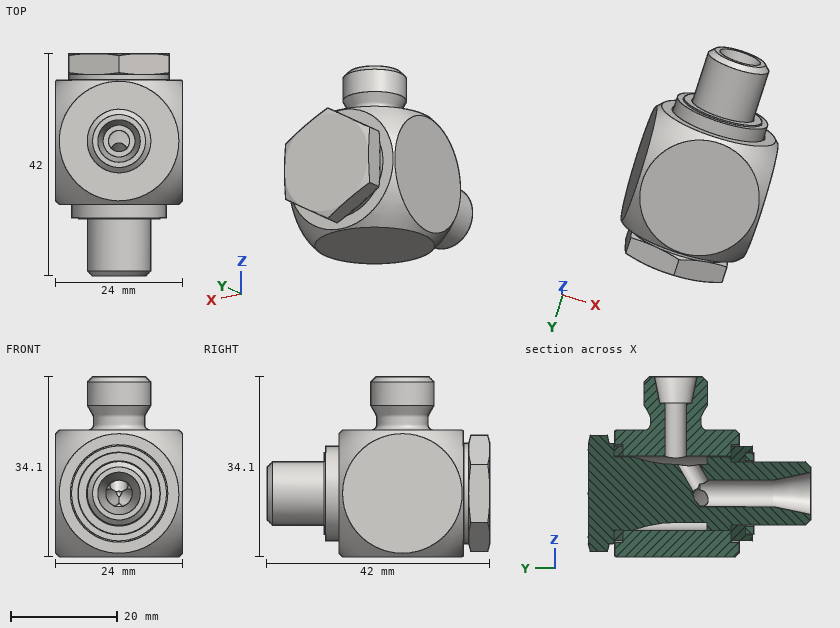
import cadquery as cq
import math


thread_dia = 12.0
stub_chamfer = 1.0
cone_mouth_dia = 8.02

housing_width = 24.0
half_width = housing_width / 2
housing_rear_y = 11.5
ball_radius = 16.45
housing_bore_dia = 14.0
recess_dia = 18.4
recess_depth = 1.5

port_height = 10.05
port_root_depth = 0.85
port_top_z = half_width + port_height
port_thread_length = 5.4
port_neck_dia = 9.7
port_fillet = 1.0
port_cone_angle = 30
port_cone_depth = 5.0
port_seat_dia = 6.0
port_hole_dia = 4.0

bolt_front_y = -25.5
bolt_rear_y = 16.5
hex_sides = 6
hex_flats = 19.03
hex_thickness = 4.0
hex_chamfer_angle = 15
flange_front_y = 11.6
shank_dia = 13.95
waist_dia = 11.0
waist_rear_y = -0.35
waist_front_y = -5.9
waist_arc_radius = 25.2
bolt_bore_dia = 5.0
bolt_cone_depth = 7.1
drill_tip_angle = 118
bolt_bore_end_y = -4.55
cross_hole_dia = 3.5
cross_hole_y = -5.55
cross_hole_tilt = 30
cross_hole_count = 3

ring_dia = 17.9
front_ring_y = -14.5
seal_front_y = -14.75
seal_dia = 15.4
seal_bore_dia = 12.3
seal_pocket_dia = 15.6
seal_length = 1.5


def rod(dia, y_start, y_end):
    """Cylinder on the Y axis between two Y positions."""
    return cq.Workplane("XZ", origin=(0, y_start, 0)).circle(dia / 2).extrude(y_start - y_end)


def tube(outer_dia, inner_dia, y_start, y_end):
    """Plain ring on the Y axis."""
    return rod(outer_dia, y_start, y_end).cut(rod(inner_dia, y_start, y_end))


def revolve(profile):
    """Close a half outline and turn it about the vertical line of its sketch plane."""
    return profile.close().revolve(360, (0, 0, 0), (0, 1, 0))


def make_port():
    """Outside of the top stub, from inside the cube up to the chamfered rim."""
    thread_r = thread_dia / 2
    neck_r = port_neck_dia / 2
    root_z = half_width - port_root_depth
    thread_bottom_z = port_top_z - port_thread_length
    slope = math.radians(port_cone_angle)
    cone_bottom_z = thread_bottom_z - (thread_r - neck_r) / math.tan(slope)

    tangent = port_fillet * math.tan(slope / 2)
    fillet_center = (neck_r + port_fillet, cone_bottom_z - tangent)
    fillet_start = (neck_r + tangent * math.sin(slope), cone_bottom_z + tangent * math.cos(slope))
    fillet_mid = (
        fillet_center[0] - port_fillet * math.cos(slope / 2),
        fillet_center[1] + port_fillet * math.sin(slope / 2),
    )

    foot_mid_shift = port_fillet * (1 - math.sqrt(0.5))
    return revolve(
        cq.Workplane("XZ")
        .moveTo(0, port_top_z)
        .lineTo(thread_r - stub_chamfer, port_top_z)
        .lineTo(thread_r, port_top_z - stub_chamfer)
        .lineTo(thread_r, thread_bottom_z)
        .lineTo(*fillet_start)
        .threePointArc(fillet_mid, (neck_r, fillet_center[1]))
        .lineTo(neck_r, half_width + port_fillet)
        .threePointArc(
            (neck_r + foot_mid_shift, half_width + foot_mid_shift),
            (neck_r + port_fillet, half_width),
        )
        .lineTo(neck_r + port_fillet, root_z)
        .lineTo(0, root_z)
    )


def make_port_bore():
    """Tapered seat with a flat floor, and the hole down to the bolt."""
    floor_z = port_top_z - port_cone_depth
    return revolve(
        cq.Workplane("XZ")
        .moveTo(0, port_top_z)
        .lineTo(cone_mouth_dia / 2, port_top_z)
        .lineTo(port_seat_dia / 2, floor_z)
        .lineTo(port_hole_dia / 2, floor_z)
        .lineTo(port_hole_dia / 2, 0)
        .lineTo(0, 0)
    )


def make_housing():
    length = housing_rear_y + half_width
    cube = cq.Workplane("XY").box(housing_width, length, housing_width)
    cube = cube.translate((0, housing_rear_y - length / 2, 0))
    body = cube.intersect(cq.Workplane("XY").sphere(ball_radius)).union(make_port())
    body = body.cut(make_port_bore())
    body = body.cut(rod(housing_bore_dia, -half_width, housing_rear_y))
    body = body.cut(rod(recess_dia, -half_width, -half_width + recess_depth))
    return body.cut(rod(recess_dia, housing_rear_y - recess_depth, housing_rear_y))


def make_hex_head():
    """Hexagon with flats facing X, both ends turned down to the width across flats."""
    flat_r = hex_flats / 2
    corner_r = flat_r / math.cos(math.pi / hex_sides)
    chamfer = (corner_r - flat_r) * math.tan(math.radians(hex_chamfer_angle))
    hex_front_y = bolt_rear_y - hex_thickness
    prism = cq.Workplane("XZ", origin=(0, hex_front_y, 0)).polygon(hex_sides, 2 * corner_r)
    prism = prism.extrude(-hex_thickness).rotate((0, 0, 0), (0, 1, 0), 90)
    turned = revolve(
        cq.Workplane("XY")
        .moveTo(0, hex_front_y)
        .lineTo(flat_r, hex_front_y)
        .lineTo(corner_r, hex_front_y + chamfer)
        .lineTo(corner_r, bolt_rear_y - chamfer)
        .lineTo(flat_r, bolt_rear_y)
        .lineTo(0, bolt_rear_y)
    )
    return prism.intersect(turned).union(rod(hex_flats, flange_front_y, hex_front_y))


def make_bolt_stem():
    """Shank with a waist around the cross holes, stepping down to the threaded front stub."""
    shank_r = shank_dia / 2
    waist_r = waist_dia / 2
    thread_r = thread_dia / 2
    arc_angle = math.acos(1 - (shank_r - waist_r) / waist_arc_radius)
    arc_length = waist_arc_radius * math.sin(arc_angle)
    arc_mid_length = waist_arc_radius * math.sin(arc_angle / 2)
    arc_mid_r = waist_r + waist_arc_radius * (1 - math.cos(arc_angle / 2))
    step_y = -half_width + recess_depth
    return revolve(
        cq.Workplane("XY")
        .moveTo(0, bolt_front_y)
        .lineTo(thread_r - stub_chamfer, bolt_front_y)
        .lineTo(thread_r, bolt_front_y + stub_chamfer)
        .lineTo(thread_r, step_y)
        .lineTo(shank_r, step_y)
        .lineTo(shank_r, waist_front_y)
        .lineTo(waist_r, waist_front_y)
        .lineTo(waist_r, waist_rear_y)
        .threePointArc((arc_mid_r, waist_rear_y + arc_mid_length), (shank_r, waist_rear_y + arc_length))
        .lineTo(shank_r, flange_front_y)
        .lineTo(0, flange_front_y)
    )


def make_bolt_bore():
    """Tapered mouth and blind bore with a drill tip."""
    bore_r = bolt_bore_dia / 2
    tip_length = bore_r / math.tan(math.radians(drill_tip_angle / 2))
    return revolve(
        cq.Workplane("XY")
        .moveTo(0, bolt_front_y)
        .lineTo(cone_mouth_dia / 2, bolt_front_y)
        .lineTo(bore_r, bolt_front_y + bolt_cone_depth)
        .lineTo(bore_r, bolt_bore_end_y)
        .lineTo(0, bolt_bore_end_y + tip_length)
    )


def make_bolt():
    bolt = make_bolt_stem().union(make_hex_head()).cut(make_bolt_bore())
    cross_hole = (
        cq.Workplane("XY")
        .circle(cross_hole_dia / 2)
        .extrude(shank_dia)
        .rotate((0, 0, 0), (1, 0, 0), -cross_hole_tilt)
        .translate((0, cross_hole_y, 0))
    )
    for i in range(cross_hole_count):
        bolt = bolt.cut(cross_hole.rotate((0, 0, 0), (0, 1, 0), i * 360 / cross_hole_count))
    return bolt


def make_front_ring():
    """Retaining ring on the bolt thread, with a pocket for the seal in its front face."""
    ring = tube(ring_dia, thread_dia, front_ring_y, -half_width + recess_depth)
    return ring.cut(rod(seal_pocket_dia, front_ring_y, seal_front_y + seal_length))


def make_seal():
    return tube(seal_dia, seal_bore_dia, seal_front_y, seal_front_y + seal_length)


def make_rear_ring():
    """Thrust ring between the housing and the flange of the bolt head."""
    return tube(ring_dia, housing_bore_dia, housing_rear_y - recess_depth, flange_front_y)


housing = make_housing()
bolt = make_bolt()
front_ring = make_front_ring()
seal = make_seal()
rear_ring = make_rear_ring()

result = cq.Compound.makeCompound(
    [housing.val(), bolt.val(), front_ring.val(), seal.val(), rear_ring.val()]
)